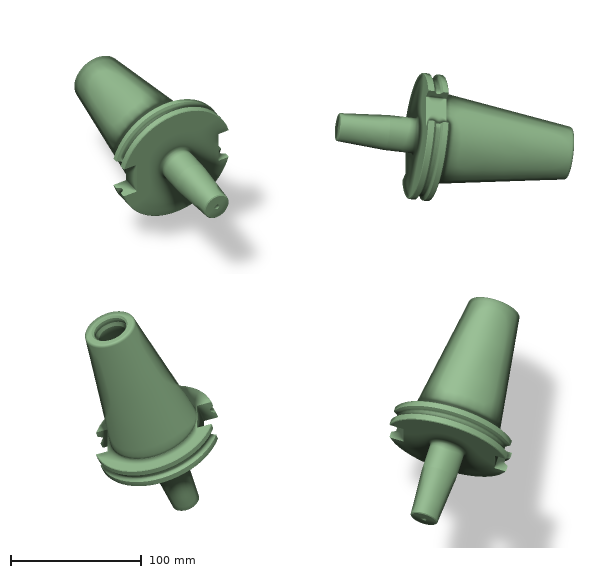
import cadquery as cq
import math

TOTAL_LENGTH = 181.6
TAPER_LENGTH = 102.8
FLANGE_START = 104.6
FLANGE_THICKNESS = 16.0
FLANGE_END = FLANGE_START + FLANGE_THICKNESS
NOSE_START = 143.5

TAPER_BASE_DIAMETER = 70.3
TAPER_RATE = 7 / 24
SMALL_END_DIAMETER = TAPER_BASE_DIAMETER - TAPER_RATE * TAPER_LENGTH
SMALL_END_FILLET = 2.2
COLLAR_FILLET = 0.5

FLANGE_DIAMETER = 97.3
FLANGE_CHAMFER = 0.5
GROOVE_CENTRE = 112.5
GROOVE_FLOOR_DIAMETER = 90.8
GROOVE_FLOOR_WIDTH = 3.0
GROOVE_WALL_ANGLE = 30.0
GROOVE_FLOOR_FILLET = 0.7

SLOT_WIDTH = 26.5
SLOT_CORNER_FILLET = 0.5
SLOT_FLOOR_FRONT = 35.2
SLOT_FLOOR_BACK = 37.5

SHANK_DIAMETER = 27.0
SHANK_FILLET = 2.0
NOSE_DIAMETER = 21.6
NOSE_CHAMFER = 0.7

BORE_MOUTH_DIAMETER = 29.0
COUNTERBORE_DIAMETER = 26.2
COUNTERBORE_DEPTH = 5.8
RELIEF_DIAMETER = 27.0
RELIEF_START = 3.6
THREAD_DIAMETER = 22.2
DRILL_DIAMETER = 20.0
DRILL_STEP_DEPTH = 40.0
DRILL_DEPTH = 50.9
DRILL_POINT_ANGLE = 118.0
COOLANT_DIAMETER = 4.2


def revolve_about_x(profile):
    """Revolve a profile drawn in the XY plane (Y is the radius) about X."""
    return profile.close().revolve(360, (0, 0, 0), (1, 0, 0))


def make_body():
    flange_radius = FLANGE_DIAMETER / 2
    shank_radius = SHANK_DIAMETER / 2
    nose_radius = NOSE_DIAMETER / 2
    collar_radius = TAPER_BASE_DIAMETER / 2
    collar_mid = COLLAR_FILLET * (1 - math.sqrt(0.5))
    fillet_mid = SHANK_FILLET * (1 - math.sqrt(0.5))
    profile = (
        cq.Workplane("XY")
        .lineTo(0, SMALL_END_DIAMETER / 2)
        .lineTo(TAPER_LENGTH, collar_radius)
        .lineTo(FLANGE_START - COLLAR_FILLET, collar_radius)
        .threePointArc(
            (FLANGE_START - collar_mid, collar_radius + collar_mid),
            (FLANGE_START, collar_radius + COLLAR_FILLET),
        )
        .lineTo(FLANGE_START, flange_radius - FLANGE_CHAMFER)
        .lineTo(FLANGE_START + FLANGE_CHAMFER, flange_radius)
        .lineTo(FLANGE_END - FLANGE_CHAMFER, flange_radius)
        .lineTo(FLANGE_END, flange_radius - FLANGE_CHAMFER)
        .lineTo(FLANGE_END, shank_radius + SHANK_FILLET)
        .threePointArc(
            (FLANGE_END + fillet_mid, shank_radius + fillet_mid),
            (FLANGE_END + SHANK_FILLET, shank_radius),
        )
        .lineTo(NOSE_START, shank_radius)
        .lineTo(TOTAL_LENGTH - NOSE_CHAMFER, nose_radius)
        .lineTo(TOTAL_LENGTH, nose_radius - NOSE_CHAMFER)
        .lineTo(TOTAL_LENGTH, 0)
    )
    return revolve_about_x(profile).faces("<X").edges().fillet(SMALL_END_FILLET)


def make_groove():
    floor_radius = GROOVE_FLOOR_DIAMETER / 2
    rim_radius = FLANGE_DIAMETER / 2
    half_floor = GROOVE_FLOOR_WIDTH / 2
    half_mouth = half_floor + (rim_radius - floor_radius) * math.tan(math.radians(GROOVE_WALL_ANGLE))
    profile = (
        cq.Workplane("XY")
        .moveTo(GROOVE_CENTRE - half_mouth, rim_radius)
        .lineTo(GROOVE_CENTRE - half_floor, floor_radius)
        .lineTo(GROOVE_CENTRE + half_floor, floor_radius)
        .lineTo(GROOVE_CENTRE + half_mouth, rim_radius)
    )
    floor_edges = cq.selectors.RadiusNthSelector(0)
    ring = revolve_about_x(profile)
    return ring.edges("%CIRCLE").edges(floor_edges).fillet(GROOVE_FLOOR_FILLET)


def make_drive_slot(side, floor_distance):
    """Slot across the flange; side is -1 for -Y and +1 for +Y."""
    depth = FLANGE_DIAMETER / 2 - floor_distance
    centre = side * (floor_distance + depth / 2)
    floor_face = "<Y" if side > 0 else ">Y"
    return (
        cq.Workplane("XY")
        .box(FLANGE_THICKNESS, depth, SLOT_WIDTH, centered=(False, True, True))
        .faces(floor_face)
        .edges("|X")
        .fillet(SLOT_CORNER_FILLET)
        .translate((FLANGE_START, centre, 0))
    )


def make_bore():
    mouth_radius = BORE_MOUTH_DIAMETER / 2
    counterbore_radius = COUNTERBORE_DIAMETER / 2
    relief_radius = RELIEF_DIAMETER / 2
    thread_radius = THREAD_DIAMETER / 2
    drill_radius = DRILL_DIAMETER / 2
    coolant_radius = COOLANT_DIAMETER / 2
    mouth_chamfer = mouth_radius - counterbore_radius
    counterbore_chamfer = counterbore_radius - thread_radius
    point_length = (drill_radius - coolant_radius) / math.tan(math.radians(DRILL_POINT_ANGLE / 2))
    profile = (
        cq.Workplane("XY")
        .lineTo(0, mouth_radius)
        .lineTo(mouth_chamfer, counterbore_radius)
        .lineTo(RELIEF_START, counterbore_radius)
        .lineTo(RELIEF_START, relief_radius)
        .lineTo(COUNTERBORE_DEPTH, relief_radius)
        .lineTo(COUNTERBORE_DEPTH, counterbore_radius)
        .lineTo(COUNTERBORE_DEPTH + counterbore_chamfer, thread_radius)
        .lineTo(DRILL_STEP_DEPTH, thread_radius)
        .lineTo(DRILL_STEP_DEPTH, drill_radius)
        .lineTo(DRILL_DEPTH, drill_radius)
        .lineTo(DRILL_DEPTH + point_length, coolant_radius)
        .lineTo(TOTAL_LENGTH, coolant_radius)
        .lineTo(TOTAL_LENGTH, 0)
    )
    return revolve_about_x(profile)


result = (
    make_body()
    .cut(make_groove())
    .cut(make_drive_slot(-1, SLOT_FLOOR_FRONT))
    .cut(make_drive_slot(1, SLOT_FLOOR_BACK))
    .cut(make_bore())
)